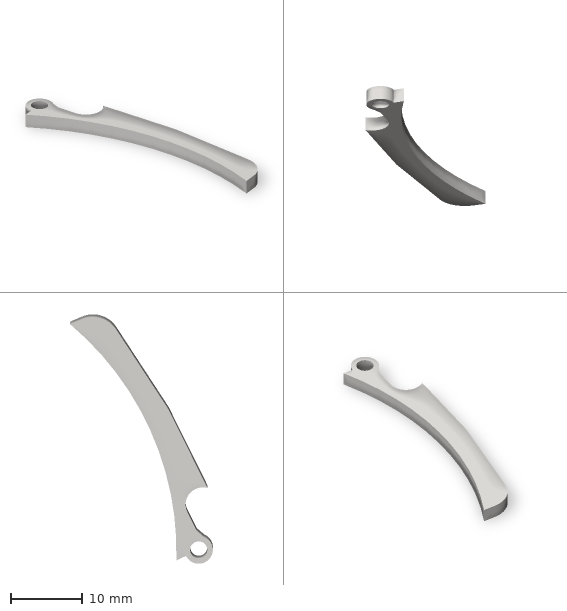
import cadquery as cq
import math

thickness = 2.0
eye_radius = 2.0
hole_diameter = 2.4

overall_length = 39
tip_x = overall_length - eye_radius
top_y = 5.0
heel_y = -3.5

neck_angle = math.radians(48)
neck_start = (eye_radius * math.cos(neck_angle), eye_radius * math.sin(neck_angle))
neck_flat_x = 2.6
neck_flat_y = 0.95

notch_radius = 2.45
notch_x = 5.58
notch_y = neck_flat_y + notch_radius
notch_top_x = notch_x + math.sqrt(notch_radius**2 - (top_y - notch_y) ** 2)

back_bend_x = 19.95
tip_round_start = (33.5, 3.4)
tip_round_end = (36.95, -0.5)
tip_y = -2.1

arch_crown = (19.45, 1.4)


def make_blade():
    """Blade outline, starting at the eye centre, with the arched lower edge last."""
    return (
        cq.Workplane("XY")
        .lineTo(*neck_start)
        .lineTo(neck_flat_x, neck_flat_y)
        .lineTo(notch_x, neck_flat_y)
        .threePointArc((notch_x + notch_radius, notch_y), (notch_top_x, top_y))
        .lineTo(back_bend_x, top_y)
        .lineTo(*tip_round_start)
        .tangentArcPoint(tip_round_end, relative=False)
        .lineTo(tip_x, tip_y)
        .threePointArc(arch_crown, (0, heel_y))
        .close()
        .extrude(thickness)
    )


def make_eye():
    return cq.Workplane("XY").circle(eye_radius).extrude(thickness)


def make_pivot_hole():
    return cq.Workplane("XY").circle(hole_diameter / 2).extrude(thickness)


result = make_blade().union(make_eye()).cut(make_pivot_hole())